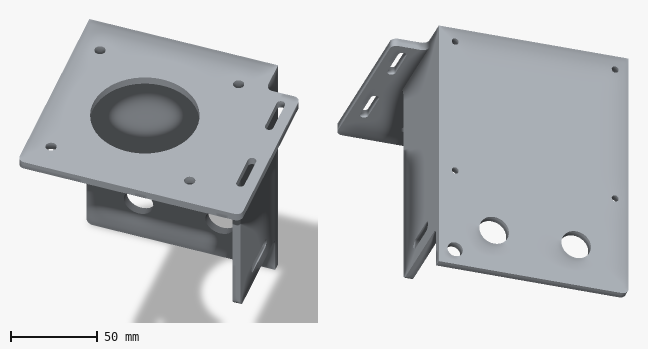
import cadquery as cq

thickness = 5.0
bracket_height = 160.0
shelf_width = 137.09
shelf_depth = 125.0
back_width = 115.75
corner_radius = 4.0

notch_depth = 21.25
bore_diameter = 63.3
bore_x = 57.0
bore_y = -65.0
bolt_diameter = 6.5
bolt_spacing = 85.0
shelf_slot_width = 5.0
shelf_slot_length = 25.0
shelf_slot_spacing = 50.0
shelf_slot_x = 128.0

small_hole_diameter = 4.2
small_hole_spacing_x = 97.5
small_hole_spacing_z = 87.5
small_hole_left_x = bore_x - small_hole_spacing_x / 2
small_hole_upper_z = 151.0
large_hole_diameter = 18.0
large_hole_spacing = 50.0
large_hole_left_x = bore_x - large_hole_spacing / 2
large_hole_z = 27.5
corner_hole_diameter = 9.3
corner_hole_x = small_hole_left_x + small_hole_spacing_x
corner_hole_z = 10.0

gusset_reach = 65.0
gusset_bottom_z = 25.0
gusset_slot_width = 6.0
gusset_slot_length = 26.0
gusset_slot_y = -33.0
gusset_slot_z = 36.75

shelf_bottom_z = bracket_height - thickness
gusset_inner_x = back_width - thickness


def make_shelf():
    """Horizontal plate with a notched rear corner, large bore, bolt holes and slots."""
    shelf = (
        cq.Workplane("XY")
        .workplane(offset=shelf_bottom_z)
        .moveTo(0, 0)
        .lineTo(back_width, 0)
        .lineTo(back_width, -notch_depth)
        .lineTo(shelf_width, -notch_depth)
        .lineTo(shelf_width, -shelf_depth)
        .lineTo(0, -shelf_depth)
        .close()
        .extrude(thickness)
    )
    shelf = shelf.edges("|Z and (<Y or >X)").fillet(corner_radius)
    inner_corner_point = (back_width, -notch_depth, shelf_bottom_z + thickness / 2)
    inner_corner = cq.selectors.NearestToPointSelector(inner_corner_point)
    shelf = shelf.edges(inner_corner).fillet(corner_radius)

    center = cq.Workplane("XY", origin=(bore_x, bore_y, shelf_bottom_z))
    bore = center.circle(bore_diameter / 2).extrude(thickness)
    bolts = center.rect(bolt_spacing, bolt_spacing, forConstruction=True).vertices()
    bolts = bolts.circle(bolt_diameter / 2).extrude(thickness)
    slots = (
        cq.Workplane("XY", origin=(shelf_slot_x, bore_y, shelf_bottom_z))
        .rarray(1, shelf_slot_spacing, 1, 2)
        .slot2D(shelf_slot_length, shelf_slot_width, 90)
        .extrude(thickness)
    )
    return shelf.cut(bore).cut(bolts).cut(slots)


def back_holes(diameter, points):
    """Round cutters through the back plate at the given (x, z) points."""
    return cq.Workplane("XZ").pushPoints(points).circle(diameter / 2).extrude(thickness)


def make_back():
    """Vertical plate with one rounded lower corner and its through holes."""
    back = cq.Workplane("XZ").rect(back_width, bracket_height, centered=False).extrude(thickness)
    back = back.edges("|Y and <X and <Z").fillet(corner_radius)

    small_points = [
        (small_hole_left_x + column * small_hole_spacing_x, small_hole_upper_z - row * small_hole_spacing_z)
        for column in range(2)
        for row in range(2)
    ]
    large_points = [(large_hole_left_x + column * large_hole_spacing, large_hole_z) for column in range(2)]
    back = back.cut(back_holes(small_hole_diameter, small_points))
    back = back.cut(back_holes(large_hole_diameter, large_points))
    return back.cut(back_holes(corner_hole_diameter, [(corner_hole_x, corner_hole_z)]))


def make_gusset():
    """Side web with one round free corner, blending into both plates, and a slot."""
    r = corner_radius
    front_y = -gusset_reach
    back_y = -thickness
    gusset = (
        cq.Workplane("YZ", origin=(gusset_inner_x, 0, 0))
        .moveTo(back_y, shelf_bottom_z)
        .lineTo(front_y - r, shelf_bottom_z)
        .radiusArc((front_y, shelf_bottom_z - r), r)
        .lineTo(front_y, gusset_bottom_z + r)
        .radiusArc((front_y + r, gusset_bottom_z), -r)
        .lineTo(back_y - r, gusset_bottom_z)
        .radiusArc((back_y, gusset_bottom_z - r), r)
        .close()
        .extrude(thickness)
    )
    slot = (
        cq.Workplane("YZ", origin=(gusset_inner_x, gusset_slot_y, gusset_slot_z))
        .slot2D(gusset_slot_length, gusset_slot_width)
        .extrude(thickness)
    )
    return gusset.cut(slot)


result = make_back().union(make_shelf()).union(make_gusset())